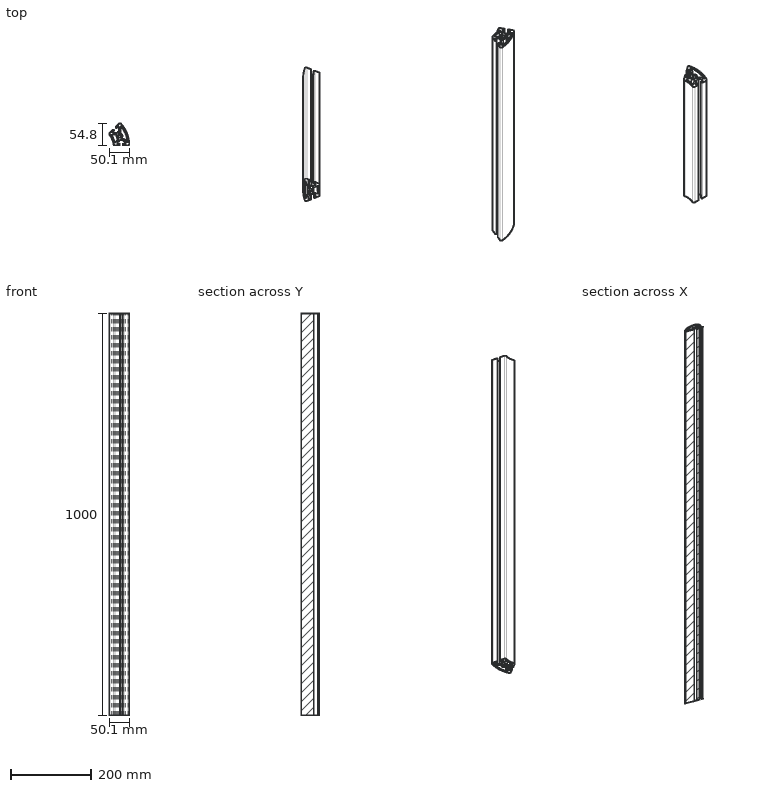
import math

import cadquery as cq

length = 1000.0
inner_radius = 40.0
outer_radius = 80.0
sector_angle = 45.0
corner_radius = 4.0
bore_diameter = 6.8

slot_opening = 7.56
lip_radius = 1.67
lip_thickness = 3.9
groove_width = 19.7
groove_shoulder_depth = 6.6
groove_floor_width = 5.6
groove_depth = 12.97

inner_wall = 3.73
outer_wall = 4.17
core_radius = 7.6
web_base_width = 46.4
web_height = 16.7

mid_radius = (inner_radius + outer_radius) / 2
half_angle = sector_angle / 2


def polar(radius, angle):
    """Point at the given radius and angle about the sector centre."""
    return (radius * math.cos(math.radians(angle)), radius * math.sin(math.radians(angle)))


core_centre = polar(mid_radius, half_angle)


def on_both_sides(body):
    """The body on the X-axis side together with its mirror image on the other flat side."""
    return body, body.mirror("XZ").rotate((0, 0, 0), (0, 0, 1), sector_angle)


def make_core_cylinder(radius):
    """Full-length cylinder on the core axis."""
    return cq.Workplane("XY").center(*core_centre).circle(radius).extrude(length)


def make_ring_sector(small_radius, large_radius):
    """Full-length ring sector between two radii, starting at the X axis."""
    return (
        cq.Workplane("XY")
        .moveTo(small_radius, 0)
        .lineTo(large_radius, 0)
        .threePointArc(polar(large_radius, half_angle), polar(large_radius, sector_angle))
        .lineTo(*polar(small_radius, sector_angle))
        .threePointArc(polar(small_radius, half_angle), (small_radius, 0))
        .close()
        .extrude(length)
    )


def make_slot():
    """T-slot cutter with rounded lips and a groove that narrows towards its floor."""
    half_opening = slot_opening / 2
    half_mouth = half_opening + lip_radius
    half_groove = groove_width / 2
    half_floor = groove_floor_width / 2
    arc_inset = lip_radius * (1 - math.sqrt(0.5))
    return (
        cq.Workplane("XY")
        .center(mid_radius, 0)
        .moveTo(half_mouth, 0)
        .threePointArc((half_opening + arc_inset, arc_inset), (half_opening, lip_radius))
        .lineTo(half_opening, lip_thickness)
        .lineTo(half_groove, lip_thickness)
        .lineTo(half_groove, groove_shoulder_depth)
        .lineTo(half_floor, groove_depth)
        .lineTo(-half_floor, groove_depth)
        .lineTo(-half_groove, groove_shoulder_depth)
        .lineTo(-half_groove, lip_thickness)
        .lineTo(-half_opening, lip_thickness)
        .lineTo(-half_opening, lip_radius)
        .threePointArc((-half_opening - arc_inset, arc_inset), (-half_mouth, 0))
        .close()
        .extrude(length)
    )


def make_web():
    """Block of material around one slot, with 45-degree flanks and a flat top."""
    half_base = web_base_width / 2
    half_top = half_base - web_height
    outline = [(-half_base, 0), (half_base, 0), (half_top, web_height), (-half_top, web_height)]
    return cq.Workplane("XY").center(mid_radius, 0).polyline(outline).close().extrude(length)


def make_chambers():
    """Space between the curved walls that the core and the two webs leave free."""
    chambers = make_ring_sector(inner_radius + inner_wall, outer_radius - outer_wall)
    chambers = chambers.cut(make_core_cylinder(core_radius))
    for web in on_both_sides(make_web()):
        chambers = chambers.cut(web)
    return chambers


result = make_ring_sector(inner_radius, outer_radius).edges("|Z").fillet(corner_radius)
for slot in on_both_sides(make_slot()):
    result = result.cut(slot)
result = result.cut(make_chambers())
result = result.cut(make_core_cylinder(bore_diameter / 2))